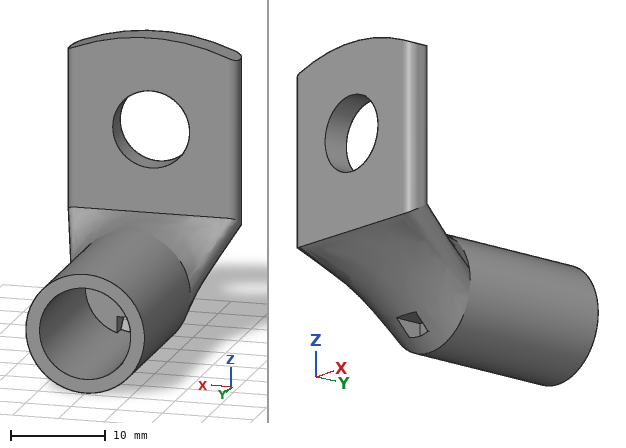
import cadquery as cq
import math

total_length = 29.0
total_height = 32.0

barrel_diameter = 13.0
bore_diameter = 10.0
barrel_length = 18.0

tab_width = 18.7
tab_thickness = 3.0
tab_edge_radius = 1.1
crown_rise = 2.0
bolt_hole_diameter = 8.4
bolt_hole_height = 15.5

tab_front_base = 4.8
tab_back_base = 6.4

window_width = 3.0
window_top = -2.98

round_start_angle = 2.0
round_end_angle = 12.0

barrel_radius = barrel_diameter / 2
barrel_start = total_length - barrel_length
tab_top = total_height - barrel_radius
half_width = tab_width / 2


def cylinder_along_y(diameter, start, length, height=0.0):
    """Cylinder parallel to Y, from start towards +Y, centred on X = 0."""
    return cq.Workplane("XZ", origin=(0, start, height)).circle(diameter / 2).extrude(-length)


def make_tab():
    """Round-edged plate with a crowned top and a slanted lower end."""
    plate = (
        cq.Workplane("XY")
        .rect(tab_width, tab_thickness)
        .extrude(total_height)
        .edges("|Z")
        .fillet(tab_edge_radius)
        .translate((0, tab_thickness / 2, 0))
    )
    crown = (
        cq.Workplane("XZ")
        .moveTo(-half_width, 0)
        .lineTo(half_width, 0)
        .lineTo(half_width, tab_top - crown_rise)
        .threePointArc((0, tab_top), (-half_width, tab_top - crown_rise))
        .close()
        .extrude(-tab_thickness)
    )
    slant = (
        cq.Workplane("YZ", origin=(-half_width, 0, 0))
        .polyline([
            (0, tab_front_base),
            (tab_thickness, tab_back_base),
            (tab_thickness, total_height),
            (0, total_height),
        ])
        .close()
        .extrude(tab_width)
    )
    return plate.intersect(crown).intersect(slant)


def barrel_point(angle):
    """Point on the barrel's front rim, with the angle measured from +X towards +Z."""
    turn = math.radians(angle)
    return cq.Vector(barrel_radius * math.cos(turn), barrel_start, barrel_radius * math.sin(turn))


def barrel_rim():
    """Barrel rim split into eight arcs that pair with the tab's edges and corner rounds."""
    quarter = [round_start_angle, round_end_angle]
    half = quarter + [180 - angle for angle in reversed(quarter)]
    angles = half + [180 + angle for angle in half]
    arcs = []
    for start, end in zip(angles, angles[1:] + [angles[0] + 360]):
        arcs.append(cq.Edge.makeThreePointArc(
            barrel_point(start), barrel_point((start + end) / 2), barrel_point(end)))
    return cq.Wire.assembleEdges(arcs)


def make_neck(tab):
    """Ruled transition from the tab's slanted lower end to the round barrel."""
    tab_rim = tab.faces("<Z").val().outerWire()
    return cq.Workplane(cq.Solid.makeLoft([tab_rim, barrel_rim()], True))


def make_window():
    """Flat-topped opening through the neck, its floor following the bore."""
    bore_core = cylinder_along_y(bore_diameter, 0, total_length)
    block = (
        cq.Workplane("XY", origin=(0, 0, window_top))
        .rect(window_width, 2 * total_length)
        .extrude(-barrel_radius)
    )
    return bore_core.intersect(block)


tab = make_tab()
barrel = cylinder_along_y(barrel_diameter, barrel_start, barrel_length)
bore = cylinder_along_y(bore_diameter, barrel_start, barrel_length)
bolt_hole = cylinder_along_y(bolt_hole_diameter, 0, tab_thickness, bolt_hole_height)

body = tab.union(make_neck(tab)).union(barrel)
result = body.cut(bore).cut(make_window()).cut(bolt_hole)